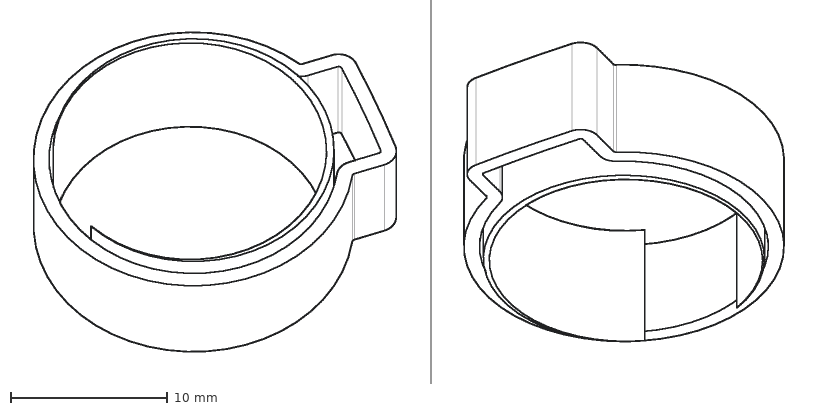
import cadquery as cq
import math

band_radius = 10.25
band_thickness = 1.0
band_width = 6.93

ear_top = 12.53
ear_half_width = 4.75
ear_arch_radius = 91.15
bend_inner_radius = 0.2
bend_outer_radius = bend_inner_radius + band_thickness

strip_radius = 9.0
strip_width = 8.8
strip_max_thickness = 0.5
strip_gap_half_width = 3.45

bore_radius = strip_radius - strip_max_thickness / 2
bore_offset = strip_max_thickness / 2


def centred_cylinder(radius, height):
    return cq.Workplane("XY").circle(radius).extrude(height / 2, both=True)


def fillet_edge_pair(body, half_spacing, y, radius):
    """Round the two vertical edges at (-half_spacing, y) and (half_spacing, y)."""
    left = cq.selectors.NearestToPointSelector((-half_spacing, y, 0))
    right = cq.selectors.NearestToPointSelector((half_spacing, y, 0))
    return body.edges("|Z").edges(left + right).fillet(radius)


def eared_disc(radius, half_width, top, arch_radius, corner_radius, root_radius):
    """Solid disc of the band's width with a crowned ear, rounded at its corners and roots."""
    shoulder_y = top - arch_radius + math.sqrt(arch_radius**2 - half_width**2)
    root_y = math.sqrt(radius**2 - half_width**2)
    ear = (
        cq.Workplane("XY")
        .moveTo(-half_width, 0)
        .lineTo(half_width, 0)
        .lineTo(half_width, shoulder_y)
        .threePointArc((0, top), (-half_width, shoulder_y))
        .close()
        .extrude(band_width / 2, both=True)
    )
    disc = centred_cylinder(radius, band_width).union(ear)
    disc = fillet_edge_pair(disc, half_width, shoulder_y, corner_radius)
    return fillet_edge_pair(disc, half_width, root_y, root_radius)


def make_band():
    outside = eared_disc(
        band_radius,
        ear_half_width,
        ear_top,
        ear_arch_radius,
        corner_radius=bend_outer_radius,
        root_radius=bend_inner_radius,
    )
    inside = eared_disc(
        band_radius - band_thickness,
        ear_half_width - band_thickness,
        ear_top - band_thickness,
        ear_arch_radius - band_thickness,
        corner_radius=bend_inner_radius,
        root_radius=bend_outer_radius,
    )
    return outside.cut(inside)


def make_strip():
    bore = centred_cylinder(bore_radius, strip_width).translate((0, -bore_offset, 0))
    opening = (
        cq.Workplane("XY")
        .center(0, -strip_radius)
        .rect(2 * strip_gap_half_width, 2 * strip_radius)
        .extrude(strip_width / 2, both=True)
    )
    return centred_cylinder(strip_radius, strip_width).cut(opening).cut(bore)


band = make_band()
strip = make_strip()

result = cq.Compound.makeCompound([band.solids().val(), strip.solids().val()])